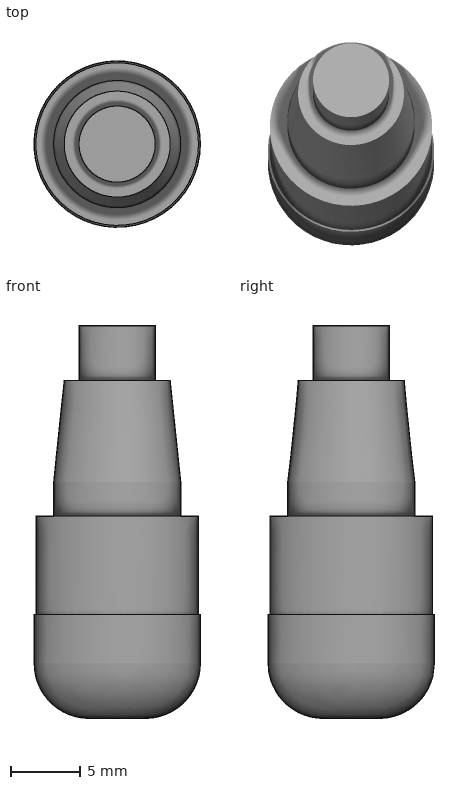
import cadquery as cq

total_height = 28.3
dome_height = 4.0
cap_height = 7.5
barrel_top = 14.57
collar_top = 17.05
taper_top = 24.37

cap_diameter = 12.0
barrel_diameter = 11.72
collar_diameter = 9.17
taper_top_diameter = 7.65
stem_diameter = 5.5


def cylinder(diameter, bottom, top):
    """Upright cylinder on the Z axis between two heights."""
    return cq.Workplane("XY").workplane(offset=bottom).circle(diameter / 2).extrude(top - bottom)


def make_cap():
    """Wide end cap whose lower edge is rounded into a dome with a flat bottom."""
    return cylinder(cap_diameter, 0, cap_height).faces("<Z").edges().fillet(dome_height)


def make_plug():
    """Stepped body standing on the cap: barrel, collar, tapered sleeve and stem."""
    barrel = cylinder(barrel_diameter, cap_height, barrel_top)
    collar = cylinder(collar_diameter, barrel_top, collar_top)
    sleeve = (
        cq.Workplane("XY")
        .workplane(offset=collar_top)
        .circle(collar_diameter / 2)
        .workplane(offset=taper_top - collar_top)
        .circle(taper_top_diameter / 2)
        .loft(ruled=True)
    )
    stem = cylinder(stem_diameter, taper_top, total_height)
    return barrel.union(collar).union(sleeve).union(stem)


cap = make_cap()
plug = make_plug()

result = cq.Compound.makeCompound([cap.val(), plug.val()])